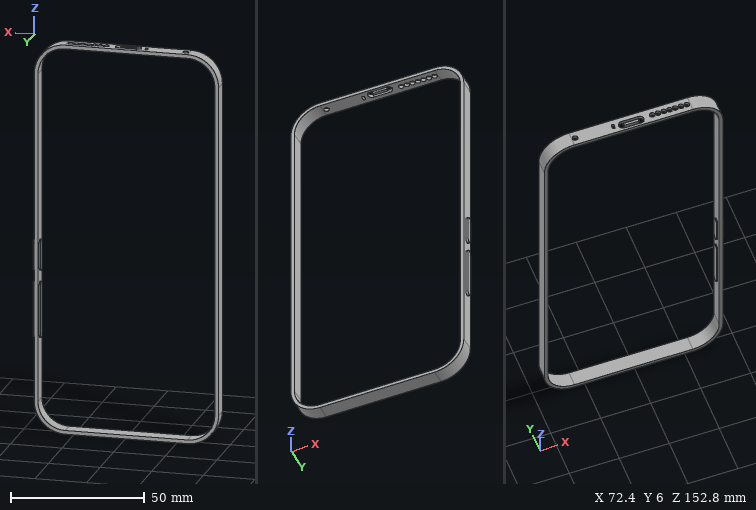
import cadquery as cq

FRAME_WIDTH = 71.5
FRAME_HEIGHT = 152.8
FRAME_DEPTH = 6.0
CORNER_RADIUS = 12.0
WALL = 1.5

BUTTON_WIDTH = 2.5
BUTTON_OUTWARD = 0.9
BUTTON_INWARD = 0.5
BUTTONS = [
    (-1.5, 12.0),
    (-18.0, 22.0),
]

HOLE_DIAMETER = 2.0
MICROPHONE_X = -22.3
SPEAKER_COUNT = 7
SPEAKER_PITCH = 2.3
SPEAKER_LAST_X = -MICROPHONE_X
SLOT_X = -7.0
SLOT_WIDTH = 0.9
PORT_LENGTH = 10.0
PORT_WIDTH = 3.0
PORT_Y = -0.5

TONGUE_LENGTH = 6.1
TONGUE_THICKNESS = 1.0

WALL_BOTTOM = FRAME_HEIGHT / 2 - WALL


def make_band():
    """Rounded rectangular ring, extruded along Y."""
    inner_width = FRAME_WIDTH - 2 * WALL
    inner_height = FRAME_HEIGHT - 2 * WALL
    outer = (
        cq.Workplane("XY")
        .box(FRAME_WIDTH, FRAME_DEPTH, FRAME_HEIGHT)
        .edges("|Y")
        .fillet(CORNER_RADIUS)
    )
    inner = (
        cq.Workplane("XY")
        .box(inner_width, FRAME_DEPTH, inner_height)
        .edges("|Y")
        .fillet(CORNER_RADIUS - WALL)
    )
    return outer.cut(inner)


def make_button(top, length):
    """Bar with round ends that stands proud of both faces of the +X wall."""
    inner_x = FRAME_WIDTH / 2 - WALL - BUTTON_INWARD
    thickness = BUTTON_INWARD + WALL + BUTTON_OUTWARD
    return (
        cq.Workplane("YZ", origin=(inner_x, 0, top - length / 2))
        .slot2D(length, BUTTON_WIDTH, angle=90)
        .extrude(thickness)
    )


def top_wall_plane(x=0, y=0):
    """Workplane on the inner face of the +Z wall."""
    return cq.Workplane("XY", origin=(x, y, WALL_BOTTOM))


def make_round_holes():
    """Microphone hole and the row of speaker holes."""
    centres = [(MICROPHONE_X, 0)]
    for i in range(SPEAKER_COUNT):
        centres.append((SPEAKER_LAST_X - i * SPEAKER_PITCH, 0))
    return top_wall_plane().pushPoints(centres).circle(HOLE_DIAMETER / 2).extrude(WALL)


def make_slot():
    """Narrow slot lying across the wall."""
    return top_wall_plane(SLOT_X).slot2D(HOLE_DIAMETER, SLOT_WIDTH, angle=90).extrude(WALL)


def make_port():
    """Connector opening with round ends."""
    return top_wall_plane(0, PORT_Y).slot2D(PORT_LENGTH, PORT_WIDTH).extrude(WALL)


def make_frame():
    """Band with its buttons joined on and the openings cut out."""
    frame = make_band()
    for top, length in BUTTONS:
        frame = frame.union(make_button(top, length))
    return frame.cut(make_round_holes()).cut(make_slot()).cut(make_port())


def make_tongue():
    """Flat connector blade centred in the port."""
    return (
        top_wall_plane(0, PORT_Y)
        .rect(TONGUE_LENGTH, TONGUE_THICKNESS)
        .extrude(WALL)
    )


frame = make_frame()
tongue = make_tongue()

result = cq.Compound.makeCompound([frame.val(), tongue.val()])